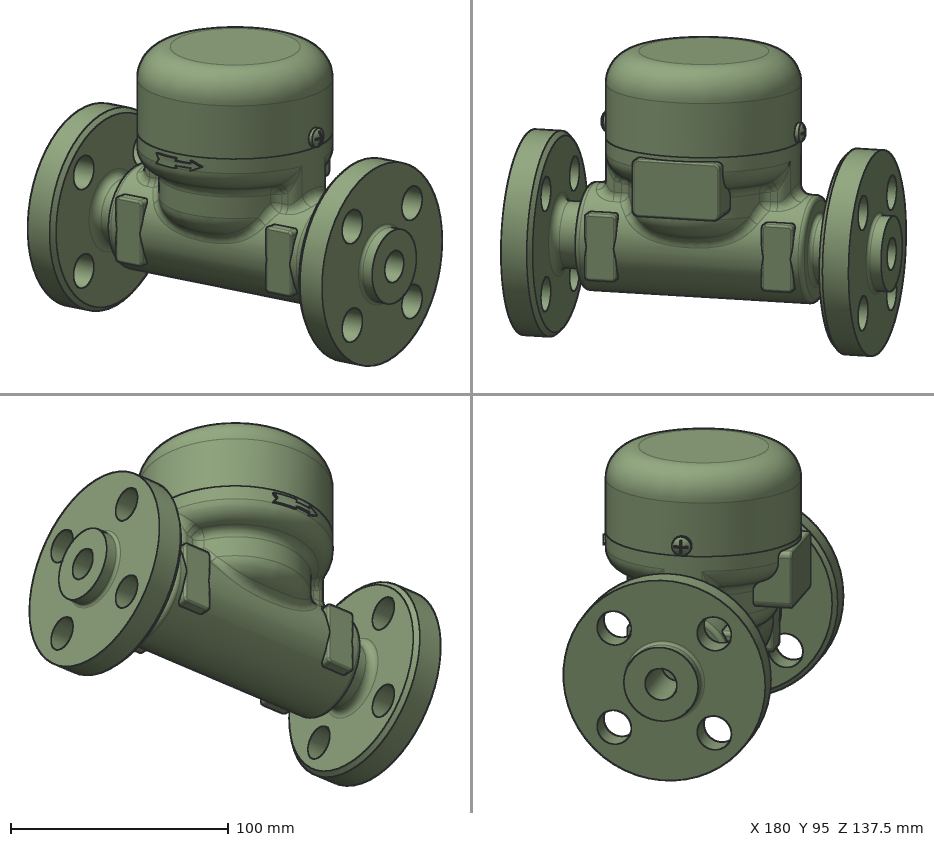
import cadquery as cq
import math

LENGTH = 180.0
TOP_Z = 90.0

FLANGE_DIA = 95.0
FLANGE_FACE_X = 83.2
FLANGE_BACK_X = 68.5
FLANGE_CHAMFER = 2.2
RAISED_FACE_DIA = 35.0
RAISED_FACE_FILLET = 1.5
BOLT_HOLE_DIA = 16.0
BOLT_CIRCLE_DIA = 66.6
BOLT_COUNT = 4
STUB_DIA = 31.0
STUB_FLANGE_FILLET = 4.0
STUB_BARREL_FILLET = 2.0
BORE_DIA = 15.0

BARREL_DIA = 50.0
BARREL_HALF_LENGTH = 54.7
BARREL_END_FILLET = 2.3

PAD_CENTRE_X = 42.3
PAD_WIDTH = 15.1
PAD_HEIGHT = 31.5
PAD_FACE_Y = 25.0
PAD_CORNER_FILLET = 2.0
PAD_FACE_FILLET = 1.0

BOWL_DIA = 90.0
SEAM_Z = 49.3
RIM_BOTTOM_Z = 42.5
NECK_BOTTOM_Z = 18.0
SHOULDER_ROUND = 10.0
BOTTOM_ROUND = 10.8
COVE_ROUND = 5.0
SPIGOT_DIA = 88.5
SPIGOT_TOP_Z = 58.3

ARM_WIDTH = 26.0
CASTING_FILLET = 5.0

TOLERANCE = 0.02

BOSS_WIDTH = 41.8
BOSS_FACE_Y = 46.0
BOSS_ROOT_Y = 21.6
BOSS_BOTTOM_Z = 20.3
BOSS_TOP_Z = 47.3
BOSS_CORNER_FILLET = 2.9
BOSS_FACE_FILLET = 0.9

ARROW_FACE_DIA = 92.2
ARROW_ROOT_Y = -36.0
ARROW_HALF_LENGTH = 12.8
ARROW_HEIGHT = 4.9
ARROW_HEAD_LENGTH = 5.4
ARROW_NOTCH = 1.8
ARROW_TAIL_LENGTH = 12.0
ARROW_SHAFT_HEIGHT = 2.2

COVER_ROUND = 15.1

SCREW_Z = 54.4
SCREW_HEAD_DIA = 9.0
SCREW_SHOULDER_X = 46.8
SCREW_TIP_X = 48.8
CROSS_LENGTH = 6.5
CROSS_WIDTH = 0.7
CROSS_DEPTH = 1.0


def x_cylinder(dia, x_start, x_end):
    return cq.Workplane("YZ", origin=(x_start, 0, 0)).circle(dia / 2).extrude(x_end - x_start)


def z_cylinder(dia, z_start, z_end):
    return cq.Workplane("XY", origin=(0, 0, z_start)).circle(dia / 2).extrude(z_end - z_start)


def arc_point(centre_r, centre_z, radius, angle):
    return (centre_r + radius * math.cos(angle), centre_z + radius * math.sin(angle))


def make_bowl():
    """Revolved bowl: rim, rounded shoulder, cove, neck and rounded bottom."""
    rim_r = BOWL_DIA / 2
    neck_r = rim_r - SHOULDER_ROUND
    cove_r = neck_r + COVE_ROUND
    centre_distance = SHOULDER_ROUND + COVE_ROUND
    centre_rise = math.sqrt(centre_distance**2 - COVE_ROUND**2)
    neck_top_z = RIM_BOTTOM_Z - centre_rise
    bottom_r = neck_r - BOTTOM_ROUND
    meet_angle = math.asin(centre_rise / centre_distance)
    meet = arc_point(neck_r, RIM_BOTTOM_Z, SHOULDER_ROUND, -meet_angle)
    shoulder_middle = arc_point(neck_r, RIM_BOTTOM_Z, SHOULDER_ROUND, -meet_angle / 2)
    cove_middle = arc_point(cove_r, neck_top_z, COVE_ROUND, math.pi - meet_angle / 2)
    bottom_middle = arc_point(bottom_r, NECK_BOTTOM_Z, BOTTOM_ROUND, -math.pi / 4)
    return (
        cq.Workplane("XZ")
        .moveTo(0, SEAM_Z)
        .lineTo(rim_r, SEAM_Z)
        .lineTo(rim_r, RIM_BOTTOM_Z)
        .threePointArc(shoulder_middle, meet)
        .threePointArc(cove_middle, (neck_r, neck_top_z))
        .lineTo(neck_r, NECK_BOTTOM_Z)
        .threePointArc(bottom_middle, (bottom_r, NECK_BOTTOM_Z - BOTTOM_ROUND))
        .lineTo(0, NECK_BOTTOM_Z - BOTTOM_ROUND)
        .close()
        .revolve(360, (0, 0, 0), (0, 1, 0))
    )


def make_arms():
    """Upright slab under the bowl rim, its ends flush with the round rim."""
    slab = cq.Workplane("XY").rect(BOWL_DIA, ARM_WIDTH).extrude(RIM_BOTTOM_Z)
    arms = slab.intersect(z_cylinder(BOWL_DIA, 0, RIM_BOTTOM_Z))
    return arms.edges("|Z").fillet(CASTING_FILLET)


def is_casting_joint(edge):
    """True for the concave edges where the barrel, the bowl and the arms meet."""
    middle = edge.positionAt(0.5)
    on_barrel = abs(math.hypot(middle.y, middle.z) - BARREL_DIA / 2) < TOLERANCE
    above_axis = middle.z > TOLERANCE
    joins_barrel = on_barrel and above_axis and edge.geomType() != "CIRCLE"
    box = edge.BoundingBox()
    upright = edge.geomType() == "LINE" and box.xlen < TOLERANCE and box.ylen < TOLERANCE
    inside_neck = abs(middle.x) < BOWL_DIA / 2 - SHOULDER_ROUND
    joins_neck_and_arm = upright and inside_neck and above_axis
    return joins_barrel or joins_neck_and_arm


def make_casting():
    """Barrel, bowl and arms with their joints rounded."""
    barrel = x_cylinder(BARREL_DIA, -BARREL_HALF_LENGTH, BARREL_HALF_LENGTH)
    barrel = barrel.faces("<X or >X").edges().fillet(BARREL_END_FILLET)
    casting = barrel.union(make_bowl()).union(make_arms())
    joints = [edge for edge in casting.edges().vals() if is_casting_joint(edge)]
    return casting.newObject(joints).fillet(CASTING_FILLET)


def make_pad_bar(x_side):
    """Bar through the barrel that stands out as a wrench pad on both flanks."""
    bar = cq.Workplane("XY").box(PAD_WIDTH, 2 * PAD_FACE_Y, PAD_HEIGHT)
    bar = bar.edges("|Y").fillet(PAD_CORNER_FILLET)
    bar = bar.faces("<Y or >Y").edges().fillet(PAD_FACE_FILLET)
    return bar.translate((x_side * PAD_CENTRE_X, 0, 0))


def make_nameplate_boss():
    height = BOSS_TOP_Z - BOSS_BOTTOM_Z
    depth = BOSS_FACE_Y - BOSS_ROOT_Y
    boss = cq.Workplane("XY").box(BOSS_WIDTH, depth, height)
    boss = boss.edges("|Y").fillet(BOSS_CORNER_FILLET)
    boss = boss.faces(">Y").edges().fillet(BOSS_FACE_FILLET)
    return boss.translate((0, BOSS_ROOT_Y + depth / 2, BOSS_BOTTOM_Z + height / 2))


def make_flow_arrow():
    """Arrow that points to +X, standing out from the rim."""
    head_x = ARROW_HALF_LENGTH - ARROW_HEAD_LENGTH
    tail_x = ARROW_TAIL_LENGTH - ARROW_HALF_LENGTH
    half_height = ARROW_HEIGHT / 2
    half_shaft = ARROW_SHAFT_HEIGHT / 2
    upper_half = [
        (-ARROW_HALF_LENGTH, half_height),
        (tail_x, half_height),
        (tail_x, half_shaft),
        (head_x, half_shaft),
        (head_x, half_height),
    ]
    lower_half = [(x, -z) for x, z in reversed(upper_half)]
    tip = (ARROW_HALF_LENGTH, 0)
    notch = (ARROW_NOTCH - ARROW_HALF_LENGTH, 0)
    arrow = (
        cq.Workplane("XZ", origin=(0, ARROW_ROOT_Y, RIM_BOTTOM_Z + half_height))
        .polyline(upper_half + [tip] + lower_half + [notch])
        .close()
        .extrude(ARROW_FACE_DIA / 2)
    )
    return arrow.intersect(z_cylinder(ARROW_FACE_DIA, RIM_BOTTOM_Z, SEAM_Z))


def make_flanged_end():
    """Stub, flange and raised face of the +X end, with bolt holes."""
    stub_r = STUB_DIA / 2
    flange_r = FLANGE_DIA / 2
    raised_r = RAISED_FACE_DIA / 2
    diagonal = 1 - math.sqrt(0.5)
    inner_x = BARREL_HALF_LENGTH + STUB_BARREL_FILLET
    outer_x = FLANGE_BACK_X - STUB_FLANGE_FILLET
    inner_middle = (
        BARREL_HALF_LENGTH + STUB_BARREL_FILLET * diagonal,
        stub_r + STUB_BARREL_FILLET * diagonal,
    )
    outer_middle = (
        FLANGE_BACK_X - STUB_FLANGE_FILLET * diagonal,
        stub_r + STUB_FLANGE_FILLET * diagonal,
    )
    raised_middle = (
        FLANGE_FACE_X + RAISED_FACE_FILLET * diagonal,
        raised_r + RAISED_FACE_FILLET * diagonal,
    )
    end = (
        cq.Workplane("XY")
        .moveTo(BARREL_HALF_LENGTH, 0)
        .lineTo(BARREL_HALF_LENGTH, stub_r + STUB_BARREL_FILLET)
        .threePointArc(inner_middle, (inner_x, stub_r))
        .lineTo(outer_x, stub_r)
        .threePointArc(outer_middle, (FLANGE_BACK_X, stub_r + STUB_FLANGE_FILLET))
        .lineTo(FLANGE_BACK_X, flange_r - FLANGE_CHAMFER)
        .lineTo(FLANGE_BACK_X + FLANGE_CHAMFER, flange_r)
        .lineTo(FLANGE_FACE_X, flange_r)
        .lineTo(FLANGE_FACE_X, raised_r + RAISED_FACE_FILLET)
        .threePointArc(raised_middle, (FLANGE_FACE_X + RAISED_FACE_FILLET, raised_r))
        .lineTo(LENGTH / 2, raised_r)
        .lineTo(LENGTH / 2, 0)
        .close()
        .revolve(360, (0, 0, 0), (1, 0, 0))
    )
    bolt_holes = (
        cq.Workplane("YZ", origin=(FLANGE_BACK_X, 0, 0))
        .polarArray(BOLT_CIRCLE_DIA / 2, 180 / BOLT_COUNT, 360, BOLT_COUNT)
        .circle(BOLT_HOLE_DIA / 2)
        .extrude(FLANGE_FACE_X - FLANGE_BACK_X)
    )
    return end.cut(bolt_holes)


def make_housing():
    """Casting with its boss, arrow, pads, spigot, flanged ends and a blind bore in each end."""
    flanged_end = make_flanged_end()
    housing = make_casting()
    housing = housing.union(z_cylinder(SPIGOT_DIA, SEAM_Z, SPIGOT_TOP_Z))
    housing = housing.union(make_nameplate_boss()).union(make_flow_arrow())
    housing = housing.union(flanged_end).union(flanged_end.mirror("YZ"))
    for x_side in (-1, 1):
        housing = housing.union(make_pad_bar(x_side))
        housing = housing.cut(x_cylinder(BORE_DIA, x_side * BARREL_HALF_LENGTH, x_side * LENGTH / 2))
    return housing


def make_cover():
    """Domed cover with a recess that fits over the spigot."""
    cover = z_cylinder(BOWL_DIA, SEAM_Z, TOP_Z).faces(">Z").edges().fillet(COVER_ROUND)
    return cover.cut(z_cylinder(SPIGOT_DIA, SEAM_Z, SPIGOT_TOP_Z))


def make_screw(x_side):
    """Domed screw head with a cross recess, seated on the round cover."""
    head_r = SCREW_HEAD_DIA / 2
    crown = SCREW_TIP_X - SCREW_SHOULDER_X
    sphere_r = (head_r**2 + crown**2) / (2 * crown)
    crown_angle = math.asin(head_r / sphere_r) / 2
    crown_middle = (
        SCREW_TIP_X - sphere_r * (1 - math.cos(crown_angle)),
        sphere_r * math.sin(crown_angle),
    )
    head = (
        cq.Workplane("XY")
        .lineTo(0, head_r)
        .lineTo(SCREW_SHOULDER_X, head_r)
        .threePointArc(crown_middle, (SCREW_TIP_X, 0))
        .close()
        .revolve(360, (0, 0, 0), (1, 0, 0))
    )
    cross_x = SCREW_TIP_X - CROSS_DEPTH / 2
    for y_size, z_size in ((CROSS_LENGTH, CROSS_WIDTH), (CROSS_WIDTH, CROSS_LENGTH)):
        slot = cq.Workplane("XY").box(CROSS_DEPTH, y_size, z_size).translate((cross_x, 0, 0))
        head = head.cut(slot)
    head = head.cut(z_cylinder(BOWL_DIA, -head_r, head_r))
    if x_side < 0:
        head = head.mirror("YZ")
    return head.translate((0, 0, SCREW_Z))


housing = make_housing()
cover = make_cover()
screws = [make_screw(x_side) for x_side in (-1, 1)]

result = cq.Compound.makeCompound([housing.val(), cover.val(), *[screw.val() for screw in screws]])